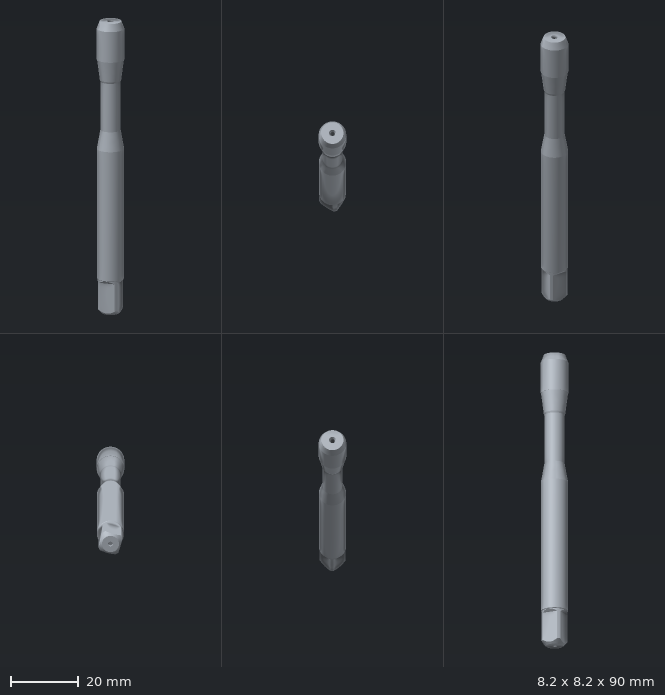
import cadquery as cq

length = 90.0
bore_diameter = 1.4
bore_mouth_diameter = 2.1
countersink_angle = 60

head_diameter = 8.2
head_tip_diameter = 6.5
head_tip_length = 2.25
head_length = 11.7
head_taper_start_diameter = 8.0
head_taper_end_diameter = 6.4
head_taper_length = 6.3

neck_diameter = 6.0
neck_step_length = 0.5
neck_end_depth = 33.5

shank_diameter = 8.1
shank_taper_length = 5.85

drive_sides = 4
drive_length = 10.8
drive_corner_diameter = 7.7
drive_shoulder_length = (shank_diameter - drive_corner_diameter) / 2
drive_flats = 6.1
drive_flat_length = 9.8
drive_chamfer = 1.35


def turned_body():
    """Revolve the stepped and tapered silhouette about the Z axis."""
    head_bottom = length - head_length
    head_taper_bottom = head_bottom - head_taper_length
    neck_bottom = length - neck_end_depth
    corner_radius = drive_corner_diameter / 2
    silhouette = [
        (0, 0),
        (corner_radius - drive_chamfer, 0),
        (corner_radius, drive_chamfer),
        (corner_radius, drive_length - drive_shoulder_length),
        (shank_diameter / 2, drive_length),
        (shank_diameter / 2, neck_bottom - shank_taper_length),
        (neck_diameter / 2, neck_bottom),
        (neck_diameter / 2, head_taper_bottom - neck_step_length),
        (head_taper_end_diameter / 2, head_taper_bottom),
        (head_taper_start_diameter / 2, head_bottom),
        (head_diameter / 2, head_bottom),
        (head_diameter / 2, length - head_tip_length),
        (head_tip_diameter / 2, length),
        (0, length),
    ]
    return cq.Workplane("XZ").polyline(silhouette).close().revolve(360, (0, 0), (0, 1))


def flat_cutter():
    """Cutter for the flat on the +X side, ending in a 45 degree ramp at the top."""
    inner = drive_flats / 2
    outer = shank_diameter
    ramp_top = drive_flat_length + outer - inner
    outline = [(inner, 0), (outer, 0), (outer, ramp_top), (inner, drive_flat_length)]
    return cq.Workplane("XZ").polyline(outline).close().extrude(shank_diameter, both=True)


result = turned_body()

for side in range(drive_sides):
    result = result.cut(flat_cutter().rotate((0, 0, 0), (0, 0, 1), side * 360 / drive_sides))

result = (
    result.faces(">Z")
    .workplane(origin=(0, 0, length))
    .cskHole(bore_diameter, bore_mouth_diameter, countersink_angle)
)